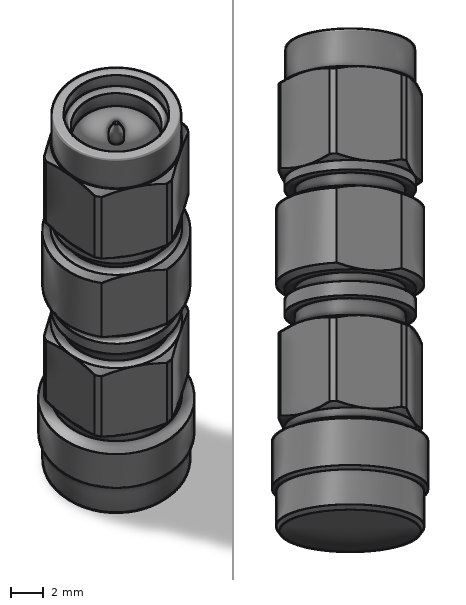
import cadquery as cq
import math

TOTAL_LENGTH = 30.8
REAR_EDGE_TOP = 0.28
REAR_BARREL_TOP = 2.5
SLEEVE_BOTTOM = 2.7
SLEEVE_TOP = 5.68
REAR_COLLAR_BOTTOM = 6.04
REAR_NUT_BOTTOM = 6.6
REAR_NUT_TOP = 12.5
RING_BOTTOM = 13.75
RING_TOP = 14.65
BODY_BOTTOM = 15.4
BODY_TOP = 20.75
FRONT_COLLAR_BOTTOM = 21.75
FRONT_NUT_BOTTOM = 22.35
FRONT_NUT_TOP = 28.35

SLEEVE_DIAMETER = 9.5
TURNED_DIAMETER = 9.0
REAR_FACE_DIAMETER = 8.6
COLLAR_DIAMETER = 8.0
RING_DIAMETER = 8.0
REAR_NECK_DIAMETER = 6.75
FRONT_NECK_DIAMETER = 6.7

ACROSS_FLATS = 8.0
CHAMFER_ANGLE = math.radians(30)
CHAMFER_FACE_DIAMETER = 8.0

RIM_DIAMETER = 7.9
RIM_ROUND = 0.2

MOUTH_DIAMETER = 6.4
MOUTH_DEPTH = 0.97
BORE_DIAMETER = 5.52
STEP_DEPTH = 1.13
BORE_DEPTH = 2.27

PIN_DIAMETER = 0.92
PIN_TIP_DIAMETER = 0.26
PIN_TIP_DEPTH = 0.85
PIN_SHOULDER_DEPTH = 1.49
PIN_SHOULDER_ROUND = 0.46


def turned(points):
    """Revolve a (diameter, height) outline about the Z axis, closing it along the axis."""
    outline = [(0, points[0][1])]
    outline += [(diameter / 2, height) for diameter, height in points]
    outline += [(0, points[-1][1])]
    return cq.Workplane("XZ").polyline(outline).close().revolve(360, (0, 0, 0), (0, 1, 0))


def cylinder(diameter, bottom, top):
    return turned([(diameter, bottom), (diameter, top)])


def chamfered_blank(bottom, top):
    """Round blank whose two ends carry the wrench chamfer."""
    chamfer_height = (TURNED_DIAMETER - CHAMFER_FACE_DIAMETER) / 2 * math.tan(CHAMFER_ANGLE)
    return turned([
        (CHAMFER_FACE_DIAMETER, bottom),
        (TURNED_DIAMETER, bottom + chamfer_height),
        (TURNED_DIAMETER, top - chamfer_height),
        (CHAMFER_FACE_DIAMETER, top),
    ])


def hex_nut(bottom, top):
    """Hexagon with two flats facing +X and -X and its corners turned down."""
    across_corners = ACROSS_FLATS / math.cos(math.pi / 6)
    prism = (
        cq.Workplane("XY")
        .workplane(offset=bottom)
        .transformed(rotate=(0, 0, 90))
        .polygon(6, across_corners)
        .extrude(top - bottom)
    )
    return prism.intersect(chamfered_blank(bottom, top))


def flatted_body(bottom, top):
    """Round body with two opposite wrench flats facing +X and -X."""
    slab = (
        cq.Workplane("XY")
        .workplane(offset=bottom)
        .rect(ACROSS_FLATS, TURNED_DIAMETER)
        .extrude(top - bottom)
    )
    return chamfered_blank(bottom, top).intersect(slab)


def rear_end():
    return turned([
        (REAR_FACE_DIAMETER, 0),
        (TURNED_DIAMETER, REAR_EDGE_TOP),
        (TURNED_DIAMETER, REAR_BARREL_TOP),
        (SLEEVE_DIAMETER, SLEEVE_BOTTOM),
        (SLEEVE_DIAMETER, SLEEVE_TOP),
        (COLLAR_DIAMETER, REAR_COLLAR_BOTTOM),
        (COLLAR_DIAMETER, REAR_NUT_BOTTOM),
    ])


def front_rim():
    return cylinder(RIM_DIAMETER, FRONT_NUT_TOP, TOTAL_LENGTH).edges(">Z").fillet(RIM_ROUND)


def front_socket():
    return turned([
        (BORE_DIAMETER, TOTAL_LENGTH - BORE_DEPTH),
        (BORE_DIAMETER, TOTAL_LENGTH - STEP_DEPTH),
        (MOUTH_DIAMETER, TOTAL_LENGTH - MOUTH_DEPTH),
        (MOUTH_DIAMETER, TOTAL_LENGTH),
    ])


def center_pin():
    """Pin with a conical tip and a rounded shoulder, rooted in the material below the socket floor."""
    shoulder = TOTAL_LENGTH - PIN_SHOULDER_DEPTH
    pin = turned([
        (PIN_DIAMETER, FRONT_NUT_BOTTOM),
        (PIN_DIAMETER, shoulder),
        (PIN_TIP_DIAMETER, TOTAL_LENGTH - PIN_TIP_DEPTH),
    ])
    shoulder_edge = cq.selectors.NearestToPointSelector((0, 0, shoulder))
    return pin.edges("%CIRCLE").edges(shoulder_edge).fillet(PIN_SHOULDER_ROUND)


result = (
    rear_end()
    .union(hex_nut(REAR_NUT_BOTTOM, REAR_NUT_TOP))
    .union(cylinder(REAR_NECK_DIAMETER, REAR_NUT_TOP, BODY_BOTTOM))
    .union(cylinder(RING_DIAMETER, RING_BOTTOM, RING_TOP))
    .union(flatted_body(BODY_BOTTOM, BODY_TOP))
    .union(cylinder(FRONT_NECK_DIAMETER, BODY_TOP, FRONT_COLLAR_BOTTOM))
    .union(cylinder(COLLAR_DIAMETER, FRONT_COLLAR_BOTTOM, FRONT_NUT_BOTTOM))
    .union(hex_nut(FRONT_NUT_BOTTOM, FRONT_NUT_TOP))
    .union(front_rim())
    .cut(front_socket())
    .union(center_pin())
)